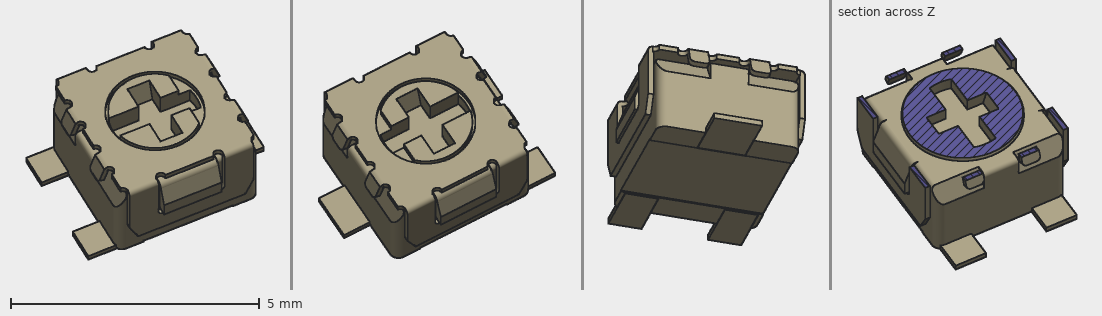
import cadquery as cq
import math


TOTAL_WIDTH = 3.4
TOTAL_LENGTH = 4.4
TOTAL_HEIGHT = 2.0

HOUSING_HALF_X = 1.495
HOUSING_HALF_Y = 1.595
HOUSING_BOTTOM = 0.018
HOUSING_TOP = 1.742
CORNER_RADIUS = 0.2
TOP_ROUND = 0.1
GROOVE_HALF_Y = 1.005
GROOVE_TOP = 0.045

FACET_BOTTOM = 1.335
FACET_ANGLE = 60.0
CHEEK_HALF_X = 0.4

BOSS_HALF_Y = 0.645
BOSS_BOTTOM = 0.935
BOSS_SHOULDER = 1.24
BOSS_TIP_X = TOTAL_WIDTH / 2
BOSS_INNER_X = 1.23
BOSS_RAMP_TOP = 1.63
BOSS_RAMP_X = 1.56
BOSS_FLAT_X = 1.445
BOSS_ROUND = 0.13

LEAD_THICKNESS = 0.12
LEAD_INNER_Y = 1.02
FRONT_LEAD_WIDTH = 0.7
FRONT_LEAD_X = 1.045
BACK_LEAD_WIDTH = 1.005

SHEET = 0.115
PLATE_HALF_Y = 1.5
WALL_BEND_RADIUS = 0.1
COVER_WALL_X = 1.65
COVER_HOLE_DIAMETER = 2.0
WALL_HALF_Y = 1.395
WALL_BOTTOM = 0.485
WALL_CHAMFER_Y = 0.19
WALL_CHAMFER_Z = 0.385
WINDOW_ROUND = 0.095
RELIEF_RADIUS = 0.1
TAB_X = 0.6445
TAB_WIDTH = 0.41
TAB_BEND_Y = 1.465
TAB_KNEE_Y = 1.565
TAB_KNEE_Z = 1.97
TAB_BEND_RADIUS = 0.22
TAB_ANGLE = 20.0
TAB_LENGTH = 0.39
TAB_ROUND = 0.095

RIM_RADIUS = 1.235
RIM_TOP = 1.875
DIAL_RADIUS = 0.94
DIAL_FLAT_Y = 0.655
SLOT_WIDTH = 0.495
SLOT_FLOOR = 1.54
SHORT_SLOT_TOP_HALF = 0.745
SHORT_SLOT_FLOOR_HALF = 0.605

PLATE_BOTTOM = TOTAL_HEIGHT - SHEET
COVER_INNER_X = COVER_WALL_X - SHEET
PLATE_HALF_X = COVER_WALL_X - WALL_BEND_RADIUS
WINDOW_HALF_Y = BOSS_HALF_Y + WINDOW_ROUND
SIDES = (-1, 1)


def box(x_range, y_range, z_range):
    """Box between the given limits on each axis."""
    (x0, x1), (y0, y1), (z0, z1) = x_range, y_range, z_range
    return cq.Workplane("XY").box(x1 - x0, y1 - y0, z1 - z0, centered=False).translate((x0, y0, z0))


def mirrored(shape, plane):
    """The shape joined with its mirror image."""
    return shape.union(shape.mirror(plane))



def make_housing_block():
    height = HOUSING_TOP - HOUSING_BOTTOM
    block = (
        cq.Workplane("XY", origin=(0, 0, HOUSING_BOTTOM))
        .rect(2 * HOUSING_HALF_X, 2 * HOUSING_HALF_Y)
        .extrude(height)
        .edges("|Z").fillet(CORNER_RADIUS)
        .faces(">Z").edges().fillet(TOP_ROUND)
    )
    groove = box(
        (-HOUSING_HALF_X, HOUSING_HALF_X), (-GROOVE_HALF_Y, GROOVE_HALF_Y), (HOUSING_BOTTOM, GROOVE_TOP)
    )
    return block.cut(groove)


def make_facet_cuts():
    """Wedges that bevel the top of the front and back walls outside the cheeks."""
    height = HOUSING_TOP - FACET_BOTTOM
    inset = height / math.tan(math.radians(FACET_ANGLE))
    wedge = (
        cq.Workplane("YZ", origin=(CHEEK_HALF_X, 0, 0))
        .moveTo(HOUSING_HALF_Y, FACET_BOTTOM)
        .lineTo(HOUSING_HALF_Y, HOUSING_TOP)
        .lineTo(HOUSING_HALF_Y - inset, HOUSING_TOP)
        .close()
        .extrude(HOUSING_HALF_X - CHEEK_HALF_X)
    )
    return mirrored(mirrored(wedge, "YZ"), "XZ")


def make_bosses():
    boss = (
        cq.Workplane("XZ", origin=(0, BOSS_HALF_Y, 0))
        .moveTo(BOSS_INNER_X, BOSS_BOTTOM)
        .lineTo(BOSS_TIP_X, BOSS_BOTTOM)
        .lineTo(BOSS_TIP_X, BOSS_SHOULDER)
        .lineTo(BOSS_RAMP_X, BOSS_RAMP_TOP)
        .radiusArc((BOSS_FLAT_X, HOUSING_TOP), -BOSS_ROUND)
        .lineTo(BOSS_INNER_X, HOUSING_TOP)
        .close()
        .extrude(2 * BOSS_HALF_Y)
    )
    return mirrored(boss, "YZ")


def make_lead(x, width, side):
    """Flat lead that sticks out of the front (side -1) or the back (side 1)."""
    length = TOTAL_LENGTH / 2 - LEAD_INNER_Y
    y = side * (LEAD_INNER_Y + length / 2)
    return cq.Workplane("XY", origin=(x, y, 0)).rect(width, length).extrude(LEAD_THICKNESS)


def make_rotor():
    rim_round = RIM_TOP - HOUSING_TOP
    rim = (
        cq.Workplane("XZ")
        .moveTo(0, HOUSING_TOP)
        .lineTo(RIM_RADIUS, HOUSING_TOP)
        .radiusArc((RIM_RADIUS - rim_round, RIM_TOP), -rim_round)
        .lineTo(0, RIM_TOP)
        .close()
        .revolve(360, (0, 0), (0, 1))
    )
    dial = cq.Workplane("XY", origin=(0, 0, RIM_TOP)).circle(DIAL_RADIUS).extrude(TOTAL_HEIGHT - RIM_TOP)
    beyond_flat = box(
        (-DIAL_RADIUS, DIAL_RADIUS), (DIAL_FLAT_Y, DIAL_RADIUS), (RIM_TOP, TOTAL_HEIGHT)
    )
    return rim.union(dial.cut(beyond_flat))


def make_cross_slot():
    long_slot = (
        cq.Workplane("XY", origin=(0, 0, SLOT_FLOOR))
        .circle(DIAL_RADIUS)
        .extrude(TOTAL_HEIGHT - SLOT_FLOOR)
        .intersect(
            box(
                (-SLOT_WIDTH / 2, SLOT_WIDTH / 2),
                (-DIAL_RADIUS, DIAL_RADIUS),
                (SLOT_FLOOR, TOTAL_HEIGHT),
            )
        )
    )
    short_slot = (
        cq.Workplane("XZ", origin=(0, SLOT_WIDTH / 2, 0))
        .moveTo(-SHORT_SLOT_FLOOR_HALF, SLOT_FLOOR)
        .lineTo(SHORT_SLOT_FLOOR_HALF, SLOT_FLOOR)
        .lineTo(SHORT_SLOT_TOP_HALF, TOTAL_HEIGHT)
        .lineTo(-SHORT_SLOT_TOP_HALF, TOTAL_HEIGHT)
        .close()
        .extrude(SLOT_WIDTH)
    )
    return long_slot.union(short_slot)


def make_base():
    base = make_housing_block().cut(make_facet_cuts()).union(make_bosses())
    for side in SIDES:
        base = base.union(make_lead(side * FRONT_LEAD_X, FRONT_LEAD_WIDTH, -1))
    base = base.union(make_lead(0, BACK_LEAD_WIDTH, 1))
    return base.union(make_rotor()).cut(make_cross_slot())



def make_plate():
    """Flat top with the rotor hole, cut back to the bend line at each tab."""
    plate = (
        cq.Workplane("XY", origin=(0, 0, PLATE_BOTTOM))
        .rect(2 * PLATE_HALF_X, 2 * PLATE_HALF_Y)
        .circle(COVER_HOLE_DIAMETER / 2)
        .extrude(SHEET)
    )
    for x in SIDES:
        for y in SIDES:
            tab_gap = (
                cq.Workplane("XY", origin=(x * TAB_X, y * (TAB_BEND_Y + PLATE_HALF_Y) / 2, PLATE_BOTTOM))
                .rect(TAB_WIDTH, PLATE_HALF_Y - TAB_BEND_Y)
                .extrude(SHEET)
            )
            plate = plate.cut(tab_gap)
    return plate


def make_reliefs():
    """Round bend reliefs beside the tabs, beside the windows and at the plate corners."""
    tab_offset = TAB_WIDTH / 2 + RELIEF_RADIUS
    one_corner = [
        (TAB_X - tab_offset, PLATE_HALF_Y),
        (TAB_X + tab_offset, PLATE_HALF_Y),
        (PLATE_HALF_X, PLATE_HALF_Y),
        (PLATE_HALF_X, WINDOW_HALF_Y - RELIEF_RADIUS),
    ]
    centres = [(x * px, y * py) for px, py in one_corner for x in SIDES for y in SIDES]
    return (
        cq.Workplane("XY", origin=(0, 0, PLATE_BOTTOM))
        .pushPoints(centres)
        .circle(RELIEF_RADIUS)
        .extrude(SHEET)
    )


def make_side_wall():
    """Right-hand wall, bent down from the plate, with the window for the snap boss."""
    section = (
        cq.Workplane("XZ", origin=(0, WALL_HALF_Y, 0))
        .moveTo(COVER_INNER_X, WALL_BOTTOM)
        .lineTo(COVER_WALL_X, WALL_BOTTOM)
        .lineTo(COVER_WALL_X, TOTAL_HEIGHT - WALL_BEND_RADIUS)
        .radiusArc((PLATE_HALF_X, TOTAL_HEIGHT), -WALL_BEND_RADIUS)
        .lineTo(COVER_INNER_X, TOTAL_HEIGHT)
        .close()
        .extrude(2 * WALL_HALF_Y)
    )
    outline = (
        cq.Workplane("YZ", origin=(COVER_INNER_X, 0, 0))
        .moveTo(-WALL_HALF_Y + WALL_CHAMFER_Y, WALL_BOTTOM)
        .lineTo(WALL_HALF_Y - WALL_CHAMFER_Y, WALL_BOTTOM)
        .lineTo(WALL_HALF_Y, WALL_BOTTOM + WALL_CHAMFER_Z)
        .lineTo(WALL_HALF_Y, TOTAL_HEIGHT)
        .lineTo(-WALL_HALF_Y, TOTAL_HEIGHT)
        .lineTo(-WALL_HALF_Y, WALL_BOTTOM + WALL_CHAMFER_Z)
        .close()
        .extrude(SHEET)
    )
    window = box(
        (COVER_INNER_X, COVER_WALL_X), (-WINDOW_HALF_Y, WINDOW_HALF_Y), (BOSS_BOTTOM, TOTAL_HEIGHT)
    ).edges("|X and <Z").fillet(WINDOW_ROUND)
    return section.intersect(outline).cut(window)


def make_tab(x):
    """Back tab centred on x, bent down and tilted outward."""
    tilt = math.radians(TAB_ANGLE)
    normal = (math.cos(tilt), math.sin(tilt))
    down = (math.sin(tilt), -math.cos(tilt))
    knee = (TAB_KNEE_Y, TAB_KNEE_Z)
    outer_tip = (knee[0] + TAB_LENGTH * down[0], knee[1] + TAB_LENGTH * down[1])
    inner_tip = (outer_tip[0] - SHEET * normal[0], outer_tip[1] - SHEET * normal[1])
    inner_knee_y = inner_tip[0] - (PLATE_BOTTOM - inner_tip[1]) * math.tan(tilt)
    return (
        cq.Workplane("YZ", origin=(x - TAB_WIDTH / 2, 0, 0))
        .moveTo(TAB_BEND_Y, PLATE_BOTTOM)
        .lineTo(TAB_BEND_Y, TOTAL_HEIGHT)
        .radiusArc(knee, TAB_BEND_RADIUS)
        .lineTo(*outer_tip)
        .lineTo(*inner_tip)
        .lineTo(inner_knee_y, PLATE_BOTTOM)
        .close()
        .extrude(TAB_WIDTH)
        .edges(cq.selectors.ParallelDirSelector(cq.Vector(0, *normal)))
        .fillet(TAB_ROUND)
    )


def make_cover():
    cover = make_plate().union(mirrored(make_side_wall(), "YZ")).cut(make_reliefs())
    for side in SIDES:
        cover = cover.union(mirrored(make_tab(side * TAB_X), "XZ"))
    return cover


base = make_base()
cover = make_cover()

result = cq.Compound.makeCompound([base.val(), cover.val()])